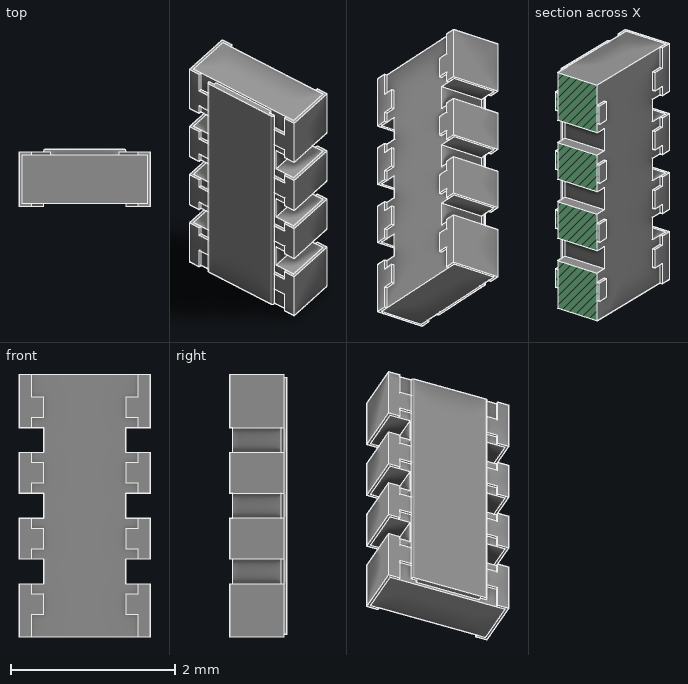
import cadquery as cq

overall_x = 1.6
overall_y = 0.7
overall_z = 3.2

plating = 0.035
lip_reach = 0.15
front_tab_reach = 0.3
back_tab_reach = 0.38
tab_height = 0.25

pitch = 0.8
terminals_per_side = 4
inner_terminal_height = 0.5

coat_rise = 0.035
coat_end_margin = 0.035
coat_edge_radius = 0.0235

outer_x = overall_x / 2
core_x = outer_x - plating
front_y = -overall_y / 2
core_front_y = front_y + plating
coat_top_y = overall_y / 2
plating_back_y = coat_top_y - coat_rise
core_back_y = plating_back_y - plating
end_z = overall_z / 2
notch_floor_x = outer_x - front_tab_reach
coat_stem_x = outer_x - back_tab_reach
coat_end_z = end_z - coat_end_margin
terminal_centers = [(i - (terminals_per_side - 1) / 2) * pitch for i in range(terminals_per_side)]


def block(x0, x1, y0, y1, z0, z1):
    """Box spanning the given limits along each axis."""
    return cq.Workplane("XY").box(x1 - x0, y1 - y0, z1 - z0, centered=False).translate((x0, y0, z0))


def terminal_limits(center_z):
    """Bottom and top of a terminal; the end terminals run out to the ends of the core."""
    bottom = center_z - inner_terminal_height / 2
    top = center_z + inner_terminal_height / 2
    if center_z == terminal_centers[0]:
        bottom = -end_z
    if center_z == terminal_centers[-1]:
        top = end_z
    return bottom, top


def make_core():
    """Ceramic slab with a notch between neighbouring terminals on both X sides."""
    core = block(-core_x, core_x, core_front_y, core_back_y, -end_z, end_z)
    for lower, upper in zip(terminal_centers, terminal_centers[1:]):
        notch_bottom = terminal_limits(lower)[1]
        notch_top = terminal_limits(upper)[0]
        core = core.cut(block(notch_floor_x, core_x, core_front_y, core_back_y, notch_bottom, notch_top))
        core = core.cut(block(-core_x, -notch_floor_x, core_front_y, core_back_y, notch_bottom, notch_top))
    return core


def make_coat():
    """Coat with a T section: a stem between the back tabs and a wider cap resting on them."""
    stem = block(-coat_stem_x, coat_stem_x, core_back_y, plating_back_y, -coat_end_z, coat_end_z)
    cap = block(-notch_floor_x, notch_floor_x, plating_back_y, coat_top_y, -coat_end_z, coat_end_z)
    cap = cap.faces(">Y").edges("|Z").fillet(coat_edge_radius)
    return stem.union(cap)


def make_terminal(center_z):
    """Terminal on the +X side: a channel wrapped around the core, with a tab on each lip."""
    bottom, top = terminal_limits(center_z)
    tab_bottom = center_z - tab_height / 2
    tab_top = center_z + tab_height / 2
    lip_x = outer_x - lip_reach
    wall = block(core_x, outer_x, front_y, plating_back_y, bottom, top)
    front_lip = block(lip_x, core_x, front_y, core_front_y, bottom, top)
    back_lip = block(lip_x, core_x, core_back_y, plating_back_y, bottom, top)
    front_tab = block(notch_floor_x, lip_x, front_y, core_front_y, tab_bottom, tab_top)
    back_tab = block(coat_stem_x, lip_x, core_back_y, plating_back_y, tab_bottom, tab_top)
    return wall.union(front_lip).union(back_lip).union(front_tab).union(back_tab)


core = make_core()
coat = make_coat()

terminals = []
for center_z in terminal_centers:
    terminal = make_terminal(center_z)
    terminals.append(terminal.val())
    terminals.append(terminal.mirror("YZ").val())

result = cq.Compound.makeCompound([core.val(), coat.val(), *terminals])